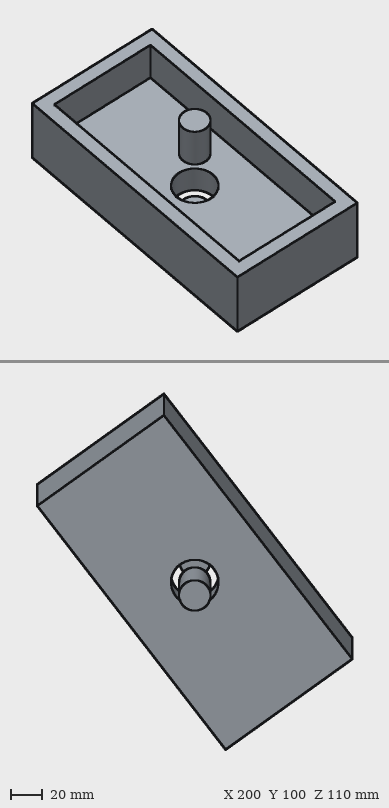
import cadquery as cq

tray_length = 200.0
tray_width = 100.0
tray_height = 50.0
wall = 10.0
floor_thickness = 20.0
hole_diameter = 30.0

pin_diameter = 20.0
pin_length = 30.0
pin_base_heights = [tray_height, -pin_length]


def make_tray():
    """Rectangular tray with a deep pocket and a round hole through its floor."""
    block = cq.Workplane("XY").box(tray_length, tray_width, tray_height, centered=(True, True, False))
    pocket = (
        cq.Workplane("XY", origin=(0, 0, floor_thickness))
        .rect(tray_length - 2 * wall, tray_width - 2 * wall)
        .extrude(tray_height - floor_thickness)
    )
    floor_hole = cq.Workplane("XY").circle(hole_diameter / 2).extrude(floor_thickness)
    return block.cut(pocket).cut(floor_hole)


def make_pin(base_height):
    """Plain upright pin standing on the given height."""
    return cq.Workplane("XY", origin=(0, 0, base_height)).circle(pin_diameter / 2).extrude(pin_length)


tray = make_tray()
pins = [make_pin(base_height) for base_height in pin_base_heights]

result = cq.Compound.makeCompound([tray.val(), *[pin.val() for pin in pins]])